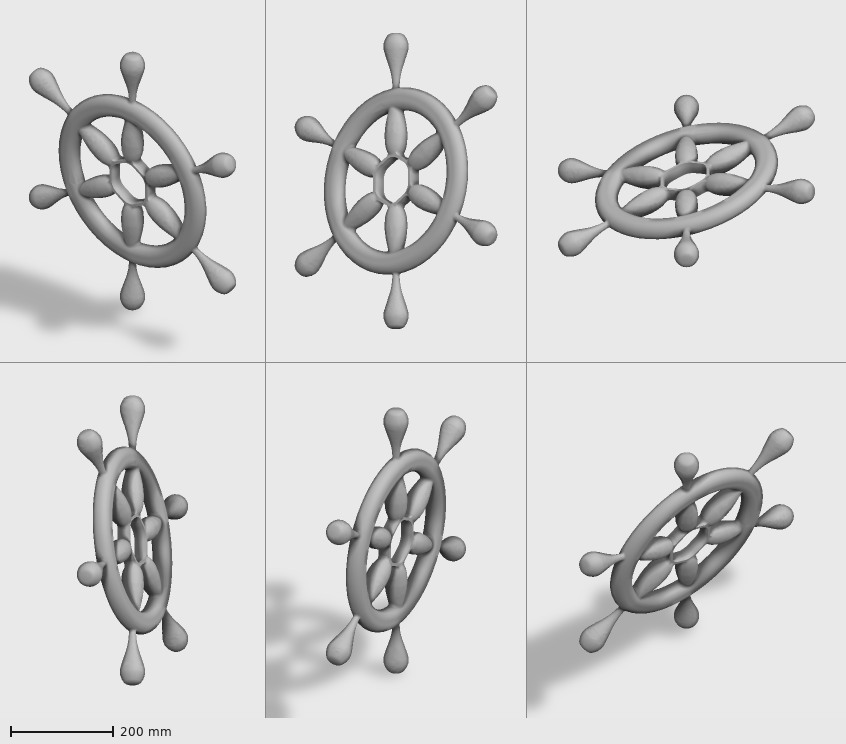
import cadquery as cq
import math

SPOKE_COUNT = 6
SPOKE_PITCH = 360 / SPOKE_COUNT

RIM_OUTER_RADIUS = 185
RIM_INNER_RADIUS = 140
RIM_THICKNESS = 35
RIM_ROUNDING = RIM_THICKNESS / 2
RIM_SEAM_ANGLE = 25

HUB_BORE_ACROSS_FLATS = 87
HUB_WALL = 5.5
HUB_DEPTH = 25
HUB_BORE_CORNER_RADIUS = 26

SPOKE_MAX_RADIUS = 22.5
SPOKE_PROFILE = [
    (10, 48),
    (17.5, 59),
    (SPOKE_MAX_RADIUS, 85),
    (19.3, 119),
    (12.5, 148),
]

HANDLE_TIP = 294.02
HANDLE_MAX_RADIUS = 24.8
HANDLE_PROFILE = [
    (7, 175),
    (7, 192),
    (8.7, 207),
    (12, 222),
    (18, 241),
    (22.9, 257),
    (HANDLE_MAX_RADIUS, 271),
    (18, 288.2),
    (0, HANDLE_TIP),
]

RIM_BLEND = 5
HUB_BLEND = 6

ORIGIN = (0, 0, 0)
WHEEL_AXIS = (0, 1, 0)
ARM_AXIS = (0, 1, 0)
OUTWARD = (0, 1)
TOWARD_AXIS = (-1, 0)


def make_rim():
    """Ring with fully rounded outer and inner edges."""
    half = RIM_THICKNESS / 2
    inner_centre = RIM_INNER_RADIUS + RIM_ROUNDING
    outer_centre = RIM_OUTER_RADIUS - RIM_ROUNDING
    return (
        cq.Workplane("XY")
        .moveTo(inner_centre, -half)
        .lineTo(outer_centre, -half)
        .threePointArc((RIM_OUTER_RADIUS, 0), (outer_centre, half))
        .lineTo(inner_centre, half)
        .threePointArc((RIM_INNER_RADIUS, 0), (inner_centre, -half))
        .close()
        .revolve(360, ORIGIN, WHEEL_AXIS)
        .rotate(ORIGIN, WHEEL_AXIS, RIM_SEAM_ANGLE)
    )


def hexagon_prism(across_flats, corner_radius):
    """Hexagonal prism along Y with rounded corners, one of them on +Z."""
    across_corners = across_flats / math.cos(math.radians(SPOKE_PITCH / 2))
    return (
        cq.Workplane("XZ")
        .transformed(rotate=(0, 0, SPOKE_PITCH / 2))
        .polygon(SPOKE_COUNT, across_corners)
        .extrude(HUB_DEPTH / 2, both=True)
        .edges("|Y")
        .fillet(corner_radius)
    )


def make_hub_blank():
    """Solid hub, still without its bore."""
    outer_across_flats = HUB_BORE_ACROSS_FLATS + 2 * HUB_WALL
    return hexagon_prism(outer_across_flats, HUB_BORE_CORNER_RADIUS + HUB_WALL)


def make_bore():
    """Hexagonal hole through the hub."""
    return hexagon_prism(HUB_BORE_ACROSS_FLATS, HUB_BORE_CORNER_RADIUS)


def make_spoke():
    """Barrel spoke standing on +Z."""
    inner_end = SPOKE_PROFILE[0][1]
    outer_end = SPOKE_PROFILE[-1][1]
    return (
        cq.Workplane("XZ")
        .moveTo(0, inner_end)
        .lineTo(*SPOKE_PROFILE[0])
        .spline(SPOKE_PROFILE[1:], includeCurrent=True)
        .lineTo(0, outer_end)
        .close()
        .revolve(360, ORIGIN, ARM_AXIS)
    )


def make_handle():
    """Pear-shaped handle standing on +Z."""
    neck_end = HANDLE_PROFILE[0][1]
    return (
        cq.Workplane("XZ")
        .moveTo(0, neck_end)
        .lineTo(*HANDLE_PROFILE[0])
        .spline(HANDLE_PROFILE[1:], tangents=[OUTWARD, TOWARD_AXIS], includeCurrent=True)
        .close()
        .revolve(360, ORIGIN, ARM_AXIS)
    )


def around_wheel(body):
    """Solids of a body copied to every spoke position."""
    return [body.rotate(ORIGIN, WHEEL_AXIS, i * SPOKE_PITCH).val() for i in range(SPOKE_COUNT)]


def blend_joints(body, near, far, radius):
    """Fillet the intersection curves centred between two distances from the wheel axis."""
    joints = []
    for edge in body.edges("%BSPLINE").vals():
        centre = edge.Center()
        if near < math.hypot(centre.x, centre.z) < far:
            joints.append(edge)
    return body.newObject(joints).fillet(radius)


def make_wheel():
    """Rim, handles, spokes and hub joined, blended and bored."""
    arms = around_wheel(make_handle()) + around_wheel(make_spoke())
    wheel = cq.Workplane(make_rim().val().fuse(*arms).fuse(make_hub_blank().val()))
    wheel = blend_joints(wheel, RIM_OUTER_RADIUS - RIM_ROUNDING, RIM_OUTER_RADIUS, RIM_BLEND)
    wheel = blend_joints(wheel, RIM_INNER_RADIUS, RIM_INNER_RADIUS + RIM_ROUNDING, RIM_BLEND)
    bore_radius = HUB_BORE_ACROSS_FLATS / 2
    wheel = blend_joints(wheel, bore_radius, bore_radius + 2 * HUB_WALL, HUB_BLEND)
    return wheel.cut(make_bore(), clean=False)


result = make_wheel().solids()